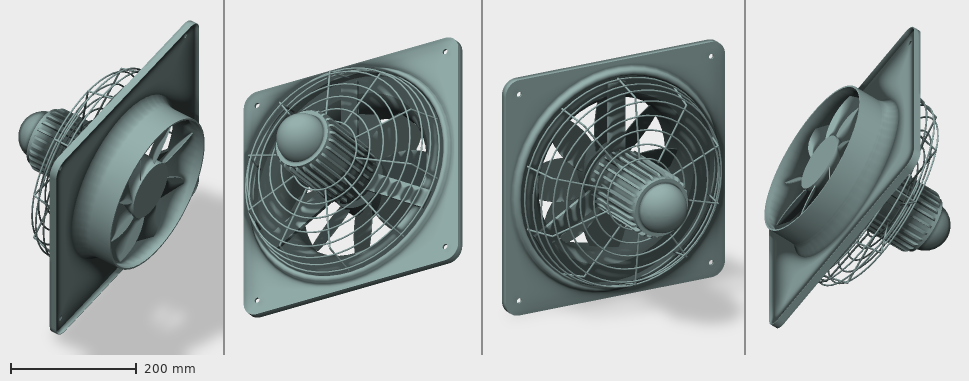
import cadquery as cq
import math


plate_side = 400.0
plate_depth = 12.5
plate_corner_radius = 24.5
sheet = 3.0
plate_rim = 1.0
plate_face_thickness = 3.5
mounting_hole_diameter = 9.0
mounting_hole_offset = 175.0
bead_center_radius = 181.0
bead_height = 10.0
bead_foot_width = 15.5
bead_wall_height = 7.0
bead_crest_width = 9.0
bead_foot_rounding = 3.0
mouth_radius = 144.0
duct_inner_radius = 129.5
duct_outer_radius = duct_inner_radius + sheet
bell_length = 27.5
duct_end_x = 69.5

motor_radius = 48.5
motor_front_x = -149.5
dome_radius = 41.0
fin_count = 24
fin_width = 4.0
fin_outer_radius = 54.5
fin_front_x = -145.0
fin_rear_x = -15.0
fin_nose_length = 8.5
arm_count = 3
arm_width = 30.5
arm_thickness = 6.0
arm_reach = 165.0

hub_radius = 48.5
hub_front_x = 17.0
hub_rear_x = 57.0
shaft_radius = 8.0
blade_count = 8
blade_pitch = 35.0
blade_thickness = 1.5
blade_axis_x = 37.0
blade_tip_radius = 127.0
blade_widest_radius = 90.0
blade_root_radius = hub_radius - 4.0
blade_root_width = 49.5
blade_widest_width = 57.0
blade_tip_width = 37.5

spoke_count = 10
spoke_diameter = 3.0
ring_wire_diameter = 3.0
ring_lift = 2.5
spoke_inner = (-78.5, 57.0)
spoke_bend = (-64.5, 159.0)
spoke_outer = (-7.5, 173.0)
face_ring_count = 5
face_ring_first_radius = 59.5
face_ring_spacing = 23.0
side_ring_positions = (-51.5, -33.5, -15.0)


def x_cylinder(radius, start, end):
    """Cylinder about the fan axis between two X positions."""
    return cq.Workplane("YZ").workplane(offset=start).circle(radius).extrude(end - start)


def around_axis(shape, count, first_angle=0.0):
    """Copies of a shape spread evenly around the fan axis."""
    step = 360.0 / count
    return [shape.rotate((0, 0, 0), (1, 0, 0), first_angle + i * step) for i in range(count)]


def bell_point(arc_radius, angle):
    """Point (x, radius) on a bell arc that ends tangent to the duct wall."""
    bell_center_radius = duct_inner_radius + bell_radius()
    return (
        bell_length - arc_radius * math.sin(angle),
        bell_center_radius - arc_radius * math.cos(angle),
    )


def bell_radius():
    """Radius of the inner bell arc from the mouth at X = 0 to its tangent end on the duct."""
    rise = mouth_radius - duct_inner_radius
    return (bell_length**2 + rise**2) / (2 * rise)


def make_housing():
    plate = (
        cq.Workplane("YZ")
        .rect(plate_side, plate_side)
        .extrude(plate_depth)
        .edges("|X")
        .fillet(plate_corner_radius)
    )
    pan = (
        cq.Workplane("YZ")
        .workplane(offset=plate_face_thickness)
        .rect(plate_side - 2 * plate_rim, plate_side - 2 * plate_rim)
        .extrude(plate_depth - plate_face_thickness)
        .edges("|X")
        .fillet(plate_corner_radius - plate_rim)
    )
    bead = (
        cq.Workplane("XY")
        .moveTo(0, bead_center_radius - bead_foot_width / 2)
        .lineTo(-bead_wall_height, bead_center_radius - bead_crest_width / 2)
        .threePointArc(
            (-bead_height, bead_center_radius),
            (-bead_wall_height, bead_center_radius + bead_crest_width / 2),
        )
        .lineTo(0, bead_center_radius + bead_foot_width / 2)
        .lineTo(sheet, bead_center_radius + bead_foot_width / 2)
        .lineTo(sheet, bead_center_radius - bead_foot_width / 2)
        .close()
        .revolve(360, (0, 0, 0), (1, 0, 0))
    )
    inner_arc = bell_radius()
    outer_arc = inner_arc - sheet
    mouth_angle = math.asin(bell_length / inner_arc)
    back_angle = math.asin((bell_length - sheet) / outer_arc)
    duct = (
        cq.Workplane("XY")
        .moveTo(0, mouth_radius)
        .threePointArc(bell_point(inner_arc, mouth_angle / 2), (bell_length, duct_inner_radius))
        .lineTo(duct_end_x, duct_inner_radius)
        .lineTo(duct_end_x, duct_outer_radius)
        .lineTo(bell_length, duct_outer_radius)
        .threePointArc(bell_point(outer_arc, back_angle / 2), bell_point(outer_arc, back_angle))
        .lineTo(0, bell_point(outer_arc, back_angle)[1])
        .close()
        .revolve(360, (0, 0, 0), (1, 0, 0))
    )
    opening = x_cylinder(mouth_radius, 0, plate_depth)
    mounting_holes = (
        cq.Workplane("YZ")
        .rect(2 * mounting_hole_offset, 2 * mounting_hole_offset, forConstruction=True)
        .vertices()
        .circle(mounting_hole_diameter / 2)
        .extrude(plate_depth)
    )
    foot_radius = bead_center_radius + bead_foot_width / 2
    outer_foot = cq.selectors.BoxSelector(
        (-sheet / 2, -foot_radius - sheet, -foot_radius - sheet),
        (sheet / 2, foot_radius + sheet, foot_radius + sheet),
        boundingbox=True,
    )
    beaded_plate = plate.cut(pan).union(bead)
    foot_edges = [
        edge
        for edge in beaded_plate.edges(outer_foot).edges("%CIRCLE").vals()
        if abs(edge.radius() - foot_radius) < sheet
    ]
    beaded_plate = beaded_plate.newObject(foot_edges).fillet(bead_foot_rounding)
    return beaded_plate.cut(opening).cut(mounting_holes).union(duct)


def make_fin():
    """Upright cooling fin with a rounded nose, rooted inside the motor barrel."""
    fin_height = fin_outer_radius - motor_radius
    nose_radius = (fin_nose_length**2 + fin_height**2) / (2 * fin_height)
    root_radius = motor_radius - fin_width
    return (
        cq.Workplane("XZ")
        .moveTo(fin_front_x, root_radius)
        .lineTo(fin_front_x, motor_radius)
        .radiusArc((fin_front_x + fin_nose_length, fin_outer_radius), nose_radius)
        .lineTo(fin_rear_x, fin_outer_radius)
        .lineTo(fin_rear_x, root_radius)
        .close()
        .extrude(fin_width / 2, both=True)
    )


def make_motor():
    dome = (
        cq.Workplane("XY")
        .moveTo(motor_front_x, 0)
        .lineTo(motor_front_x, dome_radius)
        .radiusArc((motor_front_x - dome_radius, 0), -dome_radius)
        .close()
        .revolve(360, (0, 0, 0), (1, 0, 0))
    )
    arm = cq.Workplane("XY").box(arm_thickness, arm_width, arm_reach, centered=(False, True, False))
    arm = arm.translate((-arm_thickness, 0, 0))
    motor = x_cylinder(motor_radius, motor_front_x, 0).union(dome)
    for part in around_axis(make_fin(), fin_count) + around_axis(arm, arm_count):
        motor = motor.union(part)
    return motor


def make_blade():
    """Flat barrel-shaped blade standing along +Z, turned to its pitch about its own axis."""
    stretch = 1 / math.cos(math.radians(blade_pitch))
    half_root = blade_root_width * stretch / 2
    half_widest = blade_widest_width * stretch / 2
    half_tip = blade_tip_width * stretch / 2
    return (
        cq.Workplane("YZ")
        .moveTo(-half_root, blade_root_radius)
        .threePointArc((-half_widest, blade_widest_radius), (-half_tip, blade_tip_radius))
        .lineTo(half_tip, blade_tip_radius)
        .threePointArc((half_widest, blade_widest_radius), (half_root, blade_root_radius))
        .close()
        .extrude(blade_thickness / 2, both=True)
        .rotate((0, 0, 0), (0, 0, 1), blade_pitch)
        .translate((blade_axis_x, 0, 0))
    )


def make_fan():
    shaft = x_cylinder(shaft_radius, 0, hub_front_x)
    fan = x_cylinder(hub_radius, hub_front_x, hub_rear_x).union(shaft)
    for blade in around_axis(make_blade(), blade_count):
        fan = fan.union(blade)
    return fan


def spoke_slope(start, end):
    return (end[1] - start[1]) / (end[0] - start[0])


def make_spoke():
    """Wire in the XZ plane: along the side of the guard, round the bend, then inwards."""
    points = [(x, 0, radius) for x, radius in (spoke_inner, spoke_bend, spoke_outer)]
    spoke = cq.Workplane("XY").sphere(spoke_diameter / 2).translate(points[1])
    for start, end in zip(points, points[1:]):
        direction = cq.Vector(*end) - cq.Vector(*start)
        wire = cq.Solid.makeCylinder(spoke_diameter / 2, direction.Length, cq.Vector(*start), direction)
        spoke = spoke.union(cq.Workplane(obj=wire))
    return spoke


def make_ring(x, radius):
    ring = cq.Solid.makeTorus(radius, ring_wire_diameter / 2, cq.Vector(x, 0, 0), cq.Vector(1, 0, 0))
    return cq.Workplane(obj=ring)


def make_guard():
    rings = []
    face_slope = spoke_slope(spoke_inner, spoke_bend)
    for i in range(face_ring_count):
        radius = face_ring_first_radius + i * face_ring_spacing
        spoke_x = spoke_inner[0] + (radius - spoke_inner[1]) / face_slope
        rings.append(make_ring(spoke_x - ring_lift, radius))
    side_slope = spoke_slope(spoke_bend, spoke_outer)
    for x in side_ring_positions:
        spoke_radius = spoke_bend[1] + (x - spoke_bend[0]) * side_slope
        rings.append(make_ring(x, spoke_radius + ring_lift))
    first_spoke, *other_spokes = around_axis(make_spoke(), spoke_count)
    wires = [part.val() for part in other_spokes + rings]
    return cq.Workplane(obj=first_spoke.val().fuse(*wires))


housing = make_housing()
motor = make_motor()
fan = make_fan()
guard = make_guard()

result = cq.Compound.makeCompound([housing.val(), motor.val(), fan.val(), guard.val()])